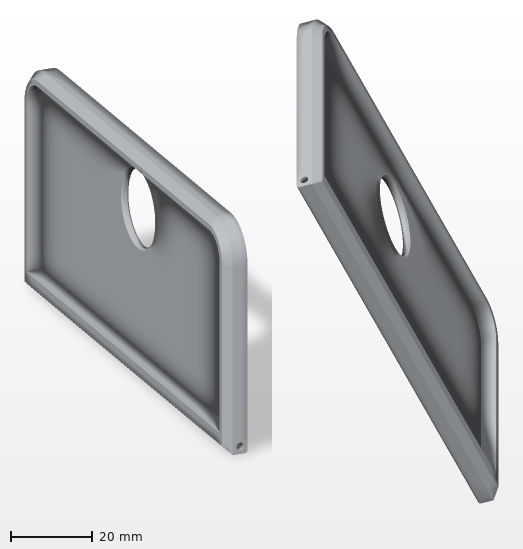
import cadquery as cq

width = 125.0
thickness = 6.0
height = 60.0
corner_radius = 10.0
front_chamfer = 2.0
back_bottom_chamfer = 0.5

rim_width = 3.5
bottom_rim_width = 5.0
floor_thickness = 2.0
recess_depth = thickness - floor_thickness

window_radius = 10.0
window_chamfer = 0.5
window_height = 42.5

pivot_diameter = 2.0
pivot_offset = 2.0
pivot_depth = 5.0

front_y = -thickness / 2
back_y = thickness / 2
floor_y = front_y + recess_depth


def round_top_block(half_width, bottom, top, top_radius, start_y, depth):
    """Block with rounded upper corners, running from start_y towards +Y."""
    block = cq.Workplane("XY").box(
        2 * half_width, depth, top - bottom, centered=(True, False, False)
    )
    block = block.translate((0, start_y, bottom))
    return block.edges("|Y and >Z").fillet(top_radius)


def make_plate():
    plate = round_top_block(width / 2, 0, height, corner_radius, front_y, thickness)
    plate = plate.faces("<Y").edges().chamfer(front_chamfer)
    return plate.faces(">Y").edges("<Z").chamfer(back_bottom_chamfer)


def make_recess():
    return round_top_block(
        width / 2 - rim_width,
        bottom_rim_width,
        height - rim_width,
        corner_radius - rim_width,
        front_y,
        recess_depth,
    )


def make_window():
    """Window cutter, chamfered where it meets the recess floor and the back face."""
    outer_radius = window_radius + window_chamfer
    profile = (
        cq.Workplane("XY")
        .moveTo(0, floor_y)
        .lineTo(outer_radius, floor_y)
        .lineTo(window_radius, floor_y + window_chamfer)
        .lineTo(window_radius, back_y - window_chamfer)
        .lineTo(outer_radius, back_y)
        .lineTo(0, back_y)
        .close()
    )
    cutter = profile.revolve(360, (0, 0, 0), (0, 1, 0))
    return cutter.translate((0, 0, window_height))


def make_pivot_hole(side):
    """Pivot hole cutter for the -X side (side = -1) or the +X side (side = 1)."""
    mouth = cq.Vector(side * width / 2, back_y - pivot_offset, pivot_offset)
    inward = cq.Vector(-side, 0, 0)
    return cq.Solid.makeCylinder(pivot_diameter / 2, pivot_depth, mouth, inward)


result = make_plate().cut(make_recess()).cut(make_window())
for side in (-1, 1):
    result = result.cut(make_pivot_hole(side))